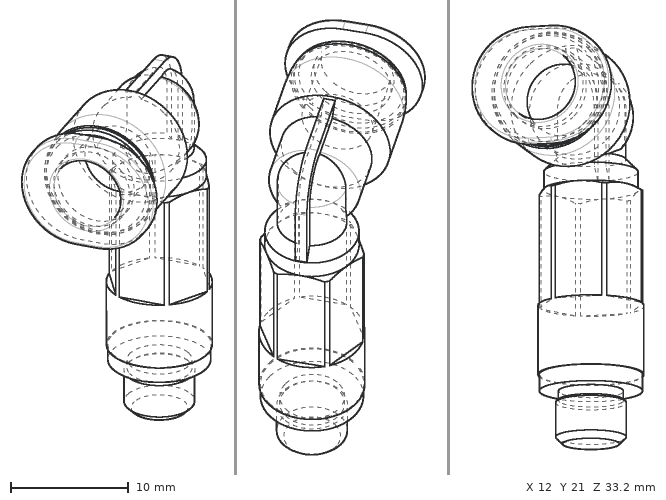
import cadquery as cq
import math

total_height = 33.2
total_depth = 21.0

stem_height = 22.0
thread_radius = 6.0 / 2
thread_chamfer = 0.6
thread_top = 3.6
relief_radius = 2.75
relief_bottom = 3.8
seal_bottom = 4.58
seal_radius = 4.38
body_bottom = 6.0
body_radius = 9.0 / 2
hex_bottom = 12.0
hex_flats = 8.0
hex_half_flats = hex_flats / 2
hex_chamfer_angle = 30.0
hex_turn = 30.0

collar_radius = hex_half_flats
collar_top = 23.57
neck_radius = 2.95
neck_cone_top = collar_top + collar_radius - neck_radius
bend_height = 29.05

rib_thickness = 1.0
rib_reach = 3.95

socket_radius = 5.25
socket_height = total_height - socket_radius
tube_radius = 7.95 / 2
tube_end_fillet = 1.0
cone_start = 5.3
cone_end = cone_start + socket_radius - tube_radius
barrel_end = 11.55
crown_end = 13.45
crown_middle = (barrel_end + crown_end) / 2
crown_radius = 5.05
crown_middle_radius = crown_radius + 0.75 * (socket_radius - crown_radius)
lip_radius = 4.88
lip_end = 14.28
lip_chamfer = 0.3
sleeve_radius = 3.5

flange_start = 15.27
flange_end = total_depth - body_radius
flange_height = 10.0
flange_width = 12.0
flange_fillet = 0.3
bore_radius = 3.1
bore_mouth_fillet = 0.3
bore_depth = 7.3


def make_stem():
    """Threaded end, seal ring and round body up to the top of the hexagon."""
    hex_chamfer = (body_radius - hex_half_flats) * math.tan(math.radians(hex_chamfer_angle))
    stem = (
        cq.Workplane("XZ")
        .moveTo(0, 0)
        .lineTo(thread_radius - thread_chamfer, 0)
        .lineTo(thread_radius, thread_chamfer)
        .lineTo(thread_radius, thread_top)
        .lineTo(relief_radius, relief_bottom)
        .lineTo(relief_radius, seal_bottom)
        .lineTo(seal_radius, seal_bottom)
        .lineTo(seal_radius, body_bottom)
        .lineTo(body_radius, body_bottom)
        .lineTo(body_radius, stem_height - hex_chamfer)
        .lineTo(hex_half_flats, stem_height)
        .lineTo(0, stem_height)
        .close()
        .revolve(360, (0, 0), (0, 1))
    )
    outside_radius = 2 * body_radius
    hex_length = stem_height - hex_bottom
    outside_hex = (
        cq.Workplane("XY", origin=(0, 0, hex_bottom))
        .transformed(rotate=(0, 0, hex_turn))
        .circle(outside_radius)
        .polygon(6, hex_flats, circumscribed=True)
        .extrude(hex_length)
    )
    return stem.cut(outside_hex)


def make_elbow():
    """Collar, tapering to a neck that ends in a ball."""
    return (
        cq.Workplane("XZ")
        .moveTo(0, stem_height)
        .lineTo(collar_radius, stem_height)
        .lineTo(collar_radius, collar_top)
        .lineTo(neck_radius, neck_cone_top)
        .lineTo(neck_radius, bend_height)
        .radiusArc((0, bend_height + neck_radius), -neck_radius)
        .close()
        .revolve(360, (0, 0), (0, 1))
    )


def make_rib():
    """Thin web following the back and the top of the elbow, into the socket cone."""
    rib_top = bend_height + rib_reach
    return (
        cq.Workplane("YZ")
        .moveTo(0, stem_height)
        .lineTo(rib_reach, stem_height)
        .lineTo(rib_reach, bend_height)
        .radiusArc((0, rib_top), -rib_reach)
        .lineTo(-cone_end, rib_top)
        .lineTo(-cone_end, socket_height)
        .lineTo(0, socket_height)
        .close()
        .extrude(rib_thickness / 2, both=True)
    )


def make_socket():
    """Horizontal tube, cone, crowned barrel and sleeve, revolved about the socket axis."""
    profile = (
        cq.Workplane("XY", origin=(0, 0, socket_height))
        .moveTo(0, 0)
        .lineTo(tube_radius - tube_end_fillet, 0)
        .radiusArc((tube_radius, -tube_end_fillet), tube_end_fillet)
        .lineTo(tube_radius, -cone_start)
        .lineTo(socket_radius, -cone_end)
        .lineTo(socket_radius, -barrel_end)
        .threePointArc((crown_middle_radius, -crown_middle), (crown_radius, -crown_end))
        .lineTo(lip_radius, -crown_end)
        .lineTo(lip_radius, lip_chamfer - lip_end)
        .lineTo(lip_radius - lip_chamfer, -lip_end)
        .lineTo(sleeve_radius, -lip_end)
        .lineTo(sleeve_radius, -flange_start)
        .lineTo(0, -flange_start)
        .close()
    )
    return profile.revolve(360, (0, 0), (0, 1))


def make_flange():
    """Oblong release flange with a rounded front edge."""
    return (
        cq.Workplane("XZ", origin=(0, -flange_start, socket_height))
        .slot2D(flange_width, flange_height)
        .extrude(flange_end - flange_start)
        .faces("<Y")
        .edges()
        .fillet(flange_fillet)
    )


def make_bore():
    """Blind tube bore, its mouth flared by a rounded edge."""
    mouth_radius = bore_radius + bore_mouth_fillet
    mouth_inner = bore_mouth_fillet - flange_end
    return (
        cq.Workplane("XY", origin=(0, 0, socket_height))
        .moveTo(0, -flange_end)
        .lineTo(mouth_radius, -flange_end)
        .radiusArc((bore_radius, mouth_inner), bore_mouth_fillet)
        .lineTo(bore_radius, bore_depth - flange_end)
        .lineTo(0, bore_depth - flange_end)
        .close()
        .revolve(360, (0, 0), (0, 1))
    )


result = (
    make_stem()
    .union(make_elbow())
    .union(make_rib())
    .union(make_socket())
    .union(make_flange())
    .cut(make_bore())
)